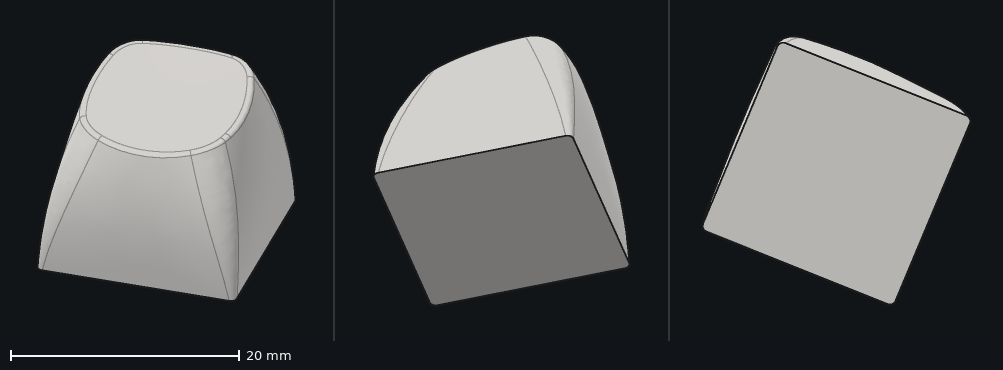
import cadquery as cq
import math

base_half_x = 9.14
base_half_y = 9.12
base_corner_radius = 0.55

rim_height = 13.56
rim_tilt = 11.4
rim_inset = 1.7
inset_power = 2.75
rim_bulge = 0.58
bulge_power = 1.4
seam_shift = 4.17
seam_power = 1.2

dish_radius = 17.55
dish_depth = 1.05
rim_fillet = 0.48

section_fractions = [0.0, 0.3, 0.6, 0.85, 1.0, 1.2]


def tilted_plane(fraction):
    """Plane on the centre axis, tilting more as it rises."""
    angle = math.radians(rim_tilt * fraction)
    return cq.Plane(
        origin=(0, 0, rim_height * fraction),
        xDir=(1, 0, 0),
        normal=(0, -math.sin(angle), math.cos(angle)),
    )


def section(fraction):
    """Closed outline of four bowed sides joined by tangent corner arcs."""
    inset = rim_inset * fraction**inset_power
    half_x = base_half_x - inset
    half_y = base_half_y - inset
    bulge = rim_bulge * fraction**bulge_power
    seam_inset = base_corner_radius + seam_shift * fraction**seam_power
    seam_x = base_half_x - seam_inset
    seam_y = base_half_y - seam_inset
    end_x = half_x - bulge
    end_y = half_y - bulge

    side_angle = 2 * math.atan(bulge / seam_x)
    half_sweep = math.pi / 4 - side_angle
    half_chord = math.hypot(end_x - seam_x, end_y - seam_y) / 2
    corner_rise = half_chord * math.tan(half_sweep / 2) / math.sqrt(2)
    corner_x = (end_x + seam_x) / 2 + corner_rise
    corner_y = (end_y + seam_y) / 2 + corner_rise

    outline = cq.Workplane(tilted_plane(fraction)).moveTo(end_x, -seam_y)

    def add_side(middle, end):
        if bulge > 0:
            return outline.threePointArc(middle, end)
        return outline.lineTo(*end)

    outline = add_side((half_x, 0), (end_x, seam_y))
    outline = outline.threePointArc((corner_x, corner_y), (seam_x, end_y))
    outline = add_side((0, half_y), (-seam_x, end_y))
    outline = outline.threePointArc((-corner_x, corner_y), (-end_x, seam_y))
    outline = add_side((-half_x, 0), (-end_x, -seam_y))
    outline = outline.threePointArc((-corner_x, -corner_y), (-seam_x, -end_y))
    outline = add_side((0, -half_y), (seam_x, -end_y))
    outline = outline.threePointArc((corner_x, -corner_y), (end_x, -seam_y))
    return outline.close().wire().val()


body = cq.Workplane(cq.Solid.makeLoft([section(f) for f in section_fractions]))

dish_center = tilted_plane(1.0).toWorldCoords((0, 0, dish_radius - dish_depth))
dish = cq.Workplane(cq.Plane(origin=dish_center.toTuple())).sphere(dish_radius)
body = body.cut(dish)

result = body.faces("%SPHERE").edges().fillet(rim_fillet)